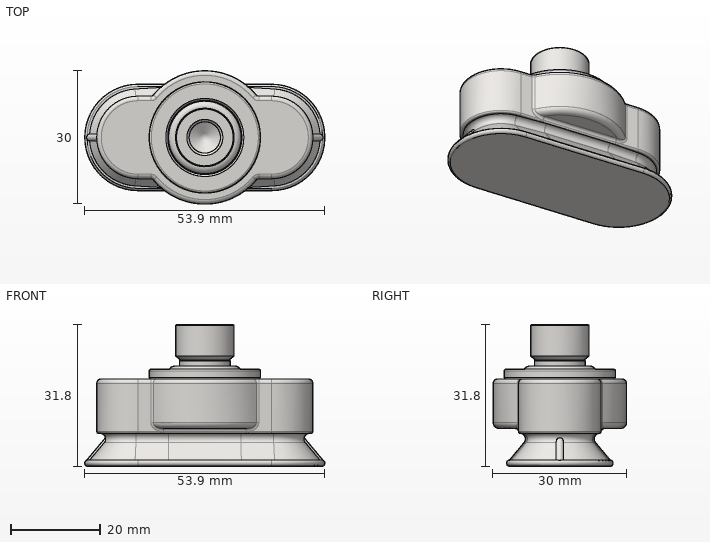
import cadquery as cq
import math


END_CENTRE = 15.0
CUP_TOP = 7.4
HOUSING_TOP = 19.6
COLLAR_TOP = 21.85
STEM_TOP = 31.8

LIP_RADIUS = 26.95 - END_CENTRE
LIP_HEIGHT = 1.4
LIP_ROUND_INSET = 0.55
SKIRT_BASE_RADIUS = 10.9
SKIRT_RUN = 3.3
SKIRT_RISE = 3.95
FLANK_HALF = 8.2
FLANK_BULGE = 0.45
NECK_FLANGE_RADIUS = 9.2
NECK_ROUND = 1.25
RIB_RADIUS = 0.9
RIB_DEPTH = 0.45
RIB_START = 1.1

HOUSING_END_RADIUS = 9.25
HUB_RADIUS = 15.0
HUB_BOTTOM = 8.45
HUB_BOTTOM_ROUND = 1.4
HUB_BLEND = 0.7
HOUSING_TOP_ROUND = 1.0
HOUSING_BOTTOM_ROUND = 0.45
SEAT_RADIUS = 24.8 / 2
SEAT_HEIGHT = 0.25

COLLAR_RADIUS = 25.0 / 2
COLLAR_ROUND = 0.5
COLLAR_BORE_RADIUS = 16.65 / 2
COLLAR_MOUTH_RADIUS = 17.5 / 2
COLLAR_MOUTH_DEPTH = 1.35

RING_SECTION_RADIUS = 1.45
RING_MEAN_RADIUS = 6.7
RING_LEVEL = HOUSING_TOP + RING_SECTION_RADIUS

HEAD_RADIUS = 13.15 / 2
HEAD_BOTTOM = 24.75
HEAD_TOP_CHAMFER = 0.2
NECK_RADIUS = 11.4 / 2
UNDERCUT_RADIUS = 11.0 / 2
UNDERCUT_LEVEL = 23.9
BORE_RADIUS = 7.0 / 2
BORE_CHAMFER = 0.55
BORE_DEPTH = 8.6
DRILL_TIP_ANGLE = 118.0


def stadium(radius, bottom, top):
    """Oval prism with round ends centred at X = +-END_CENTRE."""
    outline = cq.Workplane("XY").workplane(offset=bottom).slot2D(2 * (END_CENTRE + radius), 2 * radius)
    return outline.extrude(top - bottom)


def lip_half_section():
    """Half of the lip cross-section, from the mid-plane out to its bulging round rim."""
    flat_radius = LIP_RADIUS - LIP_ROUND_INSET
    return (
        cq.Workplane("YZ")
        .lineTo(flat_radius, 0)
        .threePointArc((LIP_RADIUS, LIP_HEIGHT / 2), (flat_radius, LIP_HEIGHT))
        .lineTo(0, LIP_HEIGHT)
        .close()
    )


def make_lip():
    """Oval sealing lip: two straight flanks between two round end discs."""
    flank = lip_half_section().extrude(END_CENTRE, both=True)
    end_disc = lip_half_section().revolve(360, (0, 0, 0), (0, 1, 0))
    lip = flank.union(flank.mirror("XZ"))
    for side in (-1, 1):
        lip = lip.union(end_disc.translate((side * END_CENTRE, 0, 0)))
    return lip


def skirt_outline(radius):
    """Oval of the given end radius whose flanks swell slightly towards the middle."""
    offset_x = END_CENTRE - FLANK_HALF
    corner_y = radius + FLANK_BULGE
    corner_distance = math.hypot(offset_x, corner_y)
    tangent_angle = math.atan2(corner_y, offset_x) + math.acos(radius / corner_distance)
    tangent_x = END_CENTRE - radius * math.cos(tangent_angle)
    tangent_y = radius * math.sin(tangent_angle)
    tip_x = END_CENTRE + radius
    return (
        cq.Workplane("XY")
        .workplane(offset=LIP_HEIGHT)
        .moveTo(-FLANK_HALF, corner_y)
        .lineTo(FLANK_HALF, corner_y)
        .lineTo(tangent_x, tangent_y)
        .threePointArc((tip_x, 0), (tangent_x, -tangent_y))
        .lineTo(FLANK_HALF, -corner_y)
        .lineTo(-FLANK_HALF, -corner_y)
        .lineTo(-tangent_x, -tangent_y)
        .threePointArc((-tip_x, 0), (-tangent_x, tangent_y))
        .close()
    )


def make_rib(side):
    """Round rib running up the sloped skirt wall at one end of the oval."""
    slope_length = math.hypot(SKIRT_RUN, SKIRT_RISE)
    normal = (SKIRT_RISE / slope_length, SKIRT_RUN / slope_length)
    axis_x = END_CENTRE + SKIRT_BASE_RADIUS - RIB_DEPTH * normal[0]
    axis_z = LIP_HEIGHT - RIB_DEPTH * normal[1]
    upslope = cq.Vector(-side * SKIRT_RUN, 0, SKIRT_RISE)
    foot = cq.Vector(side * axis_x, 0, axis_z) - upslope
    rod = cq.Solid.makeCylinder(RIB_RADIUS, 3 * slope_length, foot, upslope)
    return cq.Workplane(obj=rod).intersect(stadium(LIP_RADIUS, RIB_START, CUP_TOP))


def make_skirt():
    """Sloped skirt that curves out again under the housing."""
    taper = math.degrees(math.atan2(SKIRT_RUN, SKIRT_RISE))
    skirt = skirt_outline(SKIRT_BASE_RADIUS).extrude(CUP_TOP - LIP_HEIGHT, taper=taper)
    skirt = skirt.union(stadium(NECK_FLANGE_RADIUS, CUP_TOP, CUP_TOP + 0.55))
    underside = skirt.faces(
        cq.selectors.BoxSelector(
            (-LIP_RADIUS, -LIP_RADIUS, CUP_TOP - 0.05),
            (LIP_RADIUS, LIP_RADIUS, CUP_TOP + 0.05),
        )
    )
    neck_corner = underside.val().innerWires()[0].Edges()
    skirt = skirt.newObject(neck_corner).fillet(NECK_ROUND)
    return skirt.intersect(stadium(LIP_RADIUS, 0, CUP_TOP))


def make_cup():
    cup = make_lip().union(make_skirt())
    for side in (-1, 1):
        cup = cup.union(make_rib(side))
    return cup


def make_housing():
    ends = stadium(HOUSING_END_RADIUS, CUP_TOP, HOUSING_TOP)
    hub = cq.Workplane("XY").workplane(offset=HUB_BOTTOM).circle(HUB_RADIUS).extrude(HOUSING_TOP - HUB_BOTTOM)
    hub = hub.faces("<Z").edges().fillet(HUB_BOTTOM_ROUND)
    housing = ends.union(hub)
    flank = HOUSING_END_RADIUS
    for side in (-1, 1):
        corner = cq.selectors.BoxSelector(
            (-HUB_RADIUS + 0.55, side * flank - 0.05, HUB_BOTTOM - 0.05),
            (HUB_RADIUS - 0.55, side * flank + 0.05, HOUSING_TOP + 0.05),
            boundingbox=True,
        )
        housing = housing.edges(corner).fillet(HUB_BLEND)
    housing = housing.faces(">Z").edges().fillet(HOUSING_TOP_ROUND)
    housing = housing.faces("<Z").edges().fillet(HOUSING_BOTTOM_ROUND)
    seat = (
        cq.Workplane("XY")
        .workplane(offset=HOUSING_TOP)
        .circle(SEAT_RADIUS)
        .circle(COLLAR_BORE_RADIUS)
        .extrude(SEAT_HEIGHT)
    )
    return housing.union(seat)


def make_collar():
    bottom = HOUSING_TOP + SEAT_HEIGHT
    mouth_floor = COLLAR_TOP - COLLAR_MOUTH_DEPTH
    mouth_step = COLLAR_MOUTH_RADIUS - COLLAR_BORE_RADIUS
    section = (
        cq.Workplane("XZ")
        .moveTo(COLLAR_BORE_RADIUS, bottom)
        .lineTo(COLLAR_RADIUS, bottom)
        .lineTo(COLLAR_RADIUS, COLLAR_TOP - COLLAR_ROUND)
        .radiusArc((COLLAR_RADIUS - COLLAR_ROUND, COLLAR_TOP), -COLLAR_ROUND)
        .lineTo(COLLAR_MOUTH_RADIUS, COLLAR_TOP)
        .lineTo(COLLAR_MOUTH_RADIUS, mouth_floor)
        .lineTo(COLLAR_BORE_RADIUS, mouth_floor - mouth_step)
        .close()
    )
    return section.revolve(360, (0, 0, 0), (0, 1, 0))


def make_o_ring():
    section = cq.Workplane("XZ").center(RING_MEAN_RADIUS, RING_LEVEL).circle(RING_SECTION_RADIUS)
    return section.revolve(360, (-RING_MEAN_RADIUS, 0, 0), (-RING_MEAN_RADIUS, 1, 0))


def make_stem(o_ring):
    """Hollow stem standing on the housing, with a round groove that seats the O-ring."""
    neck_top = UNDERCUT_LEVEL - (NECK_RADIUS - UNDERCUT_RADIUS)
    section = (
        cq.Workplane("XZ")
        .moveTo(0, HOUSING_TOP)
        .lineTo(NECK_RADIUS, HOUSING_TOP)
        .lineTo(NECK_RADIUS, neck_top)
        .lineTo(UNDERCUT_RADIUS, UNDERCUT_LEVEL)
        .lineTo(HEAD_RADIUS, HEAD_BOTTOM)
        .lineTo(HEAD_RADIUS, STEM_TOP - HEAD_TOP_CHAMFER)
        .lineTo(HEAD_RADIUS - HEAD_TOP_CHAMFER, STEM_TOP)
        .lineTo(BORE_RADIUS + BORE_CHAMFER, STEM_TOP)
        .lineTo(BORE_RADIUS, STEM_TOP - BORE_CHAMFER)
        .lineTo(BORE_RADIUS, STEM_TOP - BORE_DEPTH)
        .lineTo(0, STEM_TOP - BORE_DEPTH - BORE_RADIUS / math.tan(math.radians(DRILL_TIP_ANGLE / 2)))
        .close()
    )
    return section.revolve(360, (0, 0, 0), (0, 1, 0)).cut(o_ring)


cup = make_cup()
housing = make_housing()
collar = make_collar()
o_ring = make_o_ring()
stem = make_stem(o_ring)

result = cq.Compound.makeCompound([cup.val(), housing.val(), collar.val(), o_ring.val(), stem.val()])